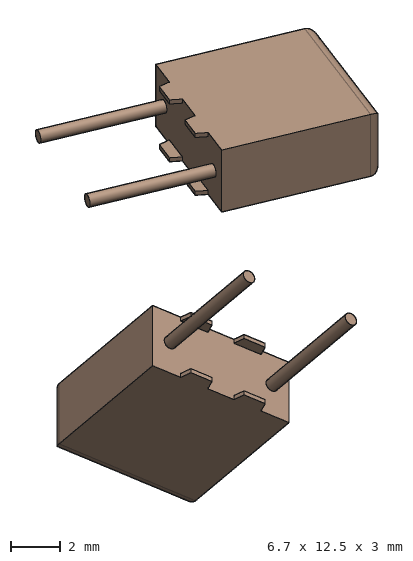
import cadquery as cq

width = 6.7
total_length = 12.5
thickness = 3.0

housing_length = 7.0
end_radius = 0.5

tab_base_width = 1.34
tab_taper = 0.15
tab_height = 0.5
tab_thickness = 0.2
tab_pitch = 2.61

lead_diameter = 0.56
lead_pitch = 5.0
lead_length = total_length - housing_length



def make_tab(center_x, bottom_z):
    """Trapezoidal standoff that narrows toward its tip."""
    half_base = tab_base_width / 2
    half_tip = half_base - tab_taper
    return (
        cq.Workplane("XY", origin=(center_x, 0, bottom_z))
        .moveTo(-half_base, 0)
        .lineTo(-half_tip, -tab_height)
        .lineTo(half_tip, -tab_height)
        .lineTo(half_base, 0)
        .close()
        .extrude(tab_thickness)
    )


def make_housing():
    """Block with a rounded closed end and two pairs of standoff tabs."""
    housing = (
        cq.Workplane("XY")
        .box(width, housing_length, thickness, centered=(True, False, True))
        .faces(">Y")
        .edges()
        .fillet(end_radius)
    )
    lower_tab_z = -thickness / 2
    upper_tab_z = thickness / 2 - tab_thickness
    for center_x in (-tab_pitch / 2, tab_pitch / 2):
        for bottom_z in (lower_tab_z, upper_tab_z):
            housing = housing.union(make_tab(center_x, bottom_z))
    return housing.clean()


def make_lead(center_x):
    """Straight round lead that starts on the housing face."""
    return (
        cq.Workplane("XZ", origin=(center_x, 0, 0))
        .circle(lead_diameter / 2)
        .extrude(lead_length)
    )


housing = make_housing()
leads = [make_lead(center_x) for center_x in (-lead_pitch / 2, lead_pitch / 2)]

result = cq.Compound.makeCompound([housing.val(), *[lead.val() for lead in leads]])